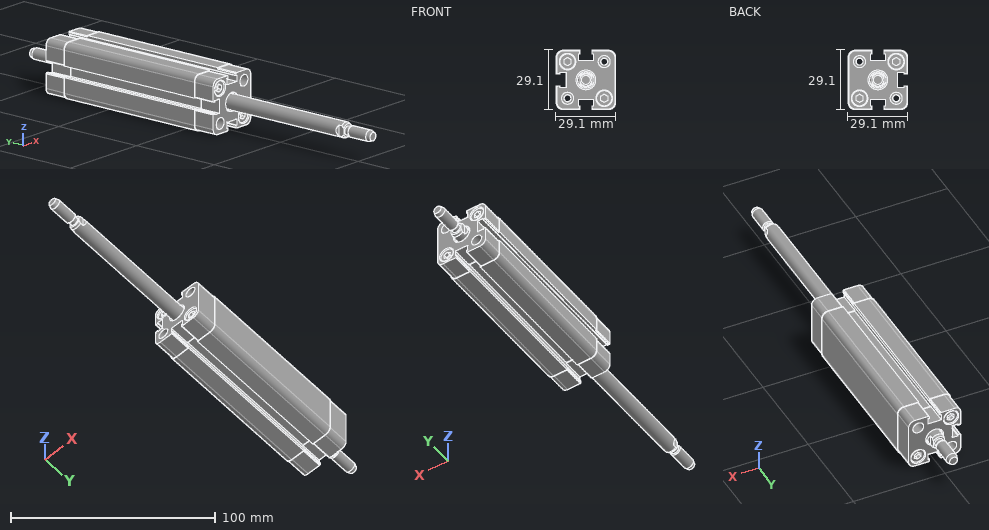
import cadquery as cq
import math

total_length = 219.0
rod_end = total_length / 2
cap_length = 11.8
tube_length = 83.9
front_face = -18.8
back_face = front_face + 2 * cap_length + tube_length

tube_width = 29.1
tube_corner_radius = 3.5
cap_width = 28.5
cap_corner_radius = 3.3

slot_width = 7.2
slot_mouth_width = 6.0
cap_slot_floor = 9.6
tube_slot_floor = 9.2
slot_lip_inner = 12.7
cap_mouth_chamfer = 0.5
slot_angles = (90, 0, 180)

corner_offset = 9.0
through_diameter = 3.3
corner_bore_diameter = 6.0
screw_bore_diameter = 8.0
screw_bore_depth = 4.4
screw_head_diameter = 7.5
screw_head_recess = 0.7
hex_across_flats = 3.5
hex_depth = 2.2

rod_diameter = 8.0
rod_bore_diameter = 9.6
rod_bore_depth = 2.2
thread_diameter = 6.0
neck_diameter = 4.5
tip_diameter = 4.4
tip_length = 2.2
thread_length = 14.0
thread_run_out = 0.5
shoulder_offset = 16.2
shoulder_chamfer = 0.7
shoulder_chamfer_length = 1.3
wrench_width = 6.0
wrench_flat_length = 3.0


def along_y(start):
    """Workplane normal to Y whose extrusions run toward +Y (its own x is -X, its own y is Z)."""
    return cq.Workplane(cq.Plane(origin=(0, start, 0), xDir=(-1, 0, 0), normal=(0, 1, 0)))


def square_bar(start, length, width, corner_radius):
    bar = along_y(start).rect(width, width).extrude(length)
    return bar.edges("|Y").fillet(corner_radius)


def cylinder(x, z, start, length, diameter):
    return along_y(start).center(-x, z).circle(diameter / 2).extrude(length)


def t_slot(start, length, floor, top, mouth_chamfer=0.0):
    """T-slot cutter for the +Z side; a chamfer widens the mouth where it meets height top."""
    half_inner = slot_width / 2
    half_mouth = slot_mouth_width / 2
    half_top = half_mouth + mouth_chamfer
    right_side = [
        (half_inner, floor),
        (half_inner, slot_lip_inner),
        (half_mouth, slot_lip_inner),
        (half_top, top),
    ]
    if mouth_chamfer > 0:
        right_side.insert(-1, (half_mouth, top - mouth_chamfer))
    left_side = [(-x, z) for x, z in reversed(right_side)]
    return along_y(start).polyline(right_side + left_side).close().extrude(length)


def make_body():
    tube_start = front_face + cap_length
    tube_end = tube_start + tube_length
    body = square_bar(tube_start, tube_length, tube_width, tube_corner_radius)
    for start in (front_face, tube_end):
        body = body.union(square_bar(start, cap_length, cap_width, cap_corner_radius))

    channel = t_slot(tube_start, tube_length, tube_slot_floor, tube_width / 2)
    for start in (front_face, tube_end):
        channel = channel.union(
            t_slot(start, cap_length, cap_slot_floor, cap_width / 2, cap_mouth_chamfer)
        )
    for angle in slot_angles:
        body = body.cut(channel.rotate((0, 0, 0), (0, 1, 0), -angle))
    return body


def cut_corners(body):
    body_length = back_face - front_face
    for side in (-1, 1):
        x = side * corner_offset
        body = body.cut(cylinder(x, x, front_face, body_length, through_diameter))
        for start in (front_face, back_face - cap_length):
            body = body.cut(cylinder(x, x, start, cap_length, corner_bore_diameter))
        for start in (front_face, back_face - screw_bore_depth):
            body = body.cut(cylinder(x, -x, start, screw_bore_depth, screw_bore_diameter))
    return body


def make_screw_head(x, z):
    """Screw head with a hexagon socket, seated in the counterbore of the front cap."""
    hex_corner_diameter = hex_across_flats / math.cos(math.pi / 6)
    head_face = front_face + screw_head_recess
    head = cylinder(x, z, head_face, screw_bore_depth - screw_head_recess, screw_head_diameter)
    socket = (
        along_y(head_face)
        .center(-x, z)
        .transformed(rotate=(0, 0, 90))
        .polygon(6, hex_corner_diameter)
        .extrude(hex_depth)
    )
    return head.cut(socket)


def add_screws(body):
    body_middle = (0, (front_face + back_face) / 2, 0)
    for side in (-1, 1):
        head = make_screw_head(side * corner_offset, -side * corner_offset)
        body = body.union(head).union(head.mirror("XZ", body_middle))
    return body


def cut_rod_bores(body):
    for start in (front_face, back_face - rod_bore_depth):
        body = body.cut(cylinder(0, 0, start, rod_bore_depth, rod_bore_diameter))
    return body


def half_rod():
    """The -Y half of the rod: shank, wrench flats, neck and thread."""
    shoulder = rod_end - shoulder_offset
    thread_start = rod_end - thread_length
    rod_radius = rod_diameter / 2
    neck_radius = neck_diameter / 2
    thread_radius = thread_diameter / 2
    tip_radius = tip_diameter / 2
    rod = (
        cq.Workplane("XY")
        .moveTo(0, 0)
        .lineTo(rod_radius, 0)
        .lineTo(rod_radius, -shoulder + shoulder_chamfer_length)
        .lineTo(rod_radius - shoulder_chamfer, -shoulder)
        .lineTo(neck_radius, -shoulder)
        .lineTo(neck_radius, -thread_start)
        .lineTo(thread_radius, -thread_start - thread_run_out)
        .lineTo(thread_radius, -rod_end + tip_length)
        .lineTo(tip_radius, -rod_end)
        .lineTo(0, -rod_end)
        .close()
        .revolve(360, (0, 0, 0), (0, 1, 0))
    )
    flat_depth = rod_radius - wrench_width / 2
    flat = (
        cq.Workplane("XY")
        .moveTo(wrench_width / 2, -shoulder)
        .lineTo(wrench_width / 2, -shoulder + wrench_flat_length)
        .lineTo(rod_radius, -shoulder + wrench_flat_length + flat_depth)
        .lineTo(rod_radius, -shoulder)
        .close()
        .extrude(rod_radius, both=True)
    )
    return rod.cut(flat).cut(flat.mirror("YZ"))


body = make_body()
body = cut_corners(body)
body = add_screws(body)
body = cut_rod_bores(body)

front_rod = half_rod()
result = body.union(front_rod).union(front_rod.mirror("XZ"))